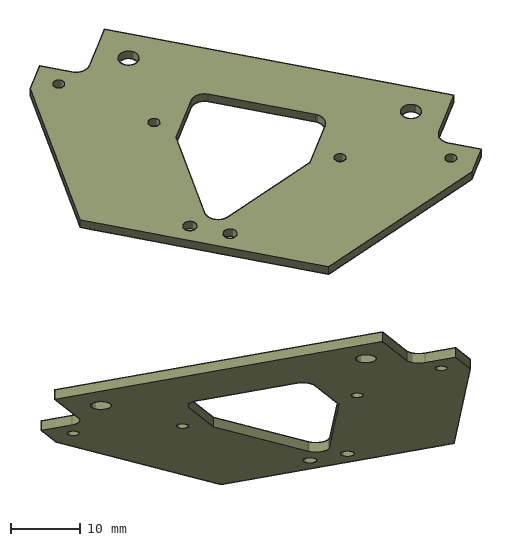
import cadquery as cq
import math

thickness = 1.5
height = 40.0
full_width = 66.0
upper_width = 52.2
shoulder_y = height - 10.0
taper_start_y = shoulder_y - 5.0
taper_angle = math.radians(60)
lower_width = full_width - 2 * taper_start_y / math.tan(taper_angle)
corner_radius = 2.0

window_width = 20.0
window_top_y = height - 9.3
window_side_end_y = height - 19.35
window_tip_y = window_side_end_y - window_width / 2 * math.tan(taper_angle)

hole_pairs = [
    (3.0, 21.1, height - 5.0),
    (1.7, 29.3, height - 13.0),
    (1.7, 13.9, height - 17.2),
    (2.0, 3.0, 3.0),
]


def mirrored_prism(right_side):
    """Extrude the outline given by its right-hand points, from bottom to top."""
    left_side = [(-x, y) for x, y in reversed(right_side) if x > 0]
    return cq.Workplane("XY").polyline(right_side + left_side).close().extrude(thickness)


def make_plate():
    plate = mirrored_prism([
        (lower_width / 2, 0),
        (full_width / 2, taper_start_y),
        (full_width / 2, shoulder_y),
        (upper_width / 2, shoulder_y),
        (upper_width / 2, height),
    ])
    inner_corners = [(side * upper_width / 2, shoulder_y, thickness / 2) for side in (-1, 1)]
    for corner in inner_corners:
        plate = plate.edges(cq.NearestToPointSelector(corner)).fillet(corner_radius)
    return plate


def make_window():
    window = mirrored_prism([
        (0, window_tip_y),
        (window_width / 2, window_side_end_y),
        (window_width / 2, window_top_y),
    ])
    rounded_corners = [
        (0, window_tip_y, thickness / 2),
        (-window_width / 2, window_top_y, thickness / 2),
        (window_width / 2, window_top_y, thickness / 2),
    ]
    for corner in rounded_corners:
        window = window.edges(cq.NearestToPointSelector(corner)).fillet(corner_radius)
    return window


def drill_pair(plate, diameter, offset, y):
    holes = (
        cq.Workplane("XY")
        .pushPoints([(-offset, y), (offset, y)])
        .circle(diameter / 2)
        .extrude(thickness)
    )
    return plate.cut(holes)


result = make_plate().cut(make_window())
for hole_diameter, hole_offset, hole_y in hole_pairs:
    result = drill_pair(result, hole_diameter, hole_offset, hole_y)